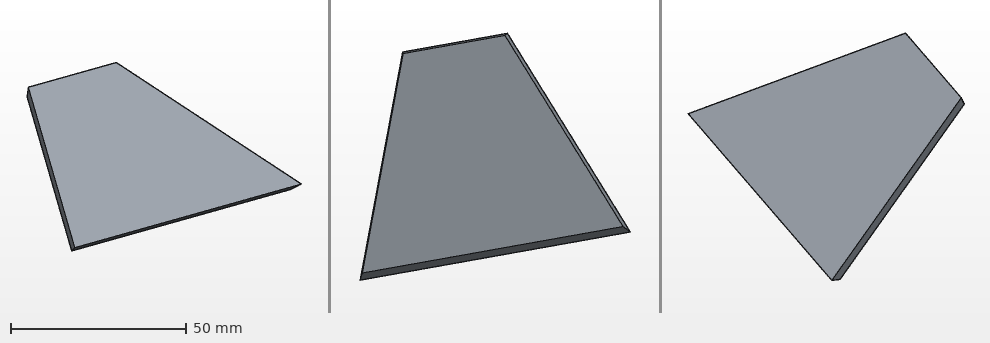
import cadquery as cq

length = 59.4
height = 25.7
wide_width = 78.8
narrow_width = 30.6
narrow_end_x = 1.35
wide_end_z = 2.75

lower_wide_x = 55.8
lower_wide_width = 76.0

run = length - narrow_end_x
fall_per_x = (height - wide_end_z) / run
flare_per_x = (wide_width - narrow_width) / run
lower_narrow_z = lower_wide_x * fall_per_x
lower_narrow_width = lower_wide_width - lower_wide_x * flare_per_x


def trapezoid(narrow_x, narrow_z, narrow_y, wide_x, wide_z, wide_y):
    """Corners of a symmetric sloping trapezoid, given its end widths along Y."""
    return [
        cq.Vector(narrow_x, -narrow_y / 2, narrow_z),
        cq.Vector(wide_x, -wide_y / 2, wide_z),
        cq.Vector(wide_x, wide_y / 2, wide_z),
        cq.Vector(narrow_x, narrow_y / 2, narrow_z),
    ]


def flat_face(corners):
    return cq.Face.makeFromWires(cq.Wire.makePolygon(corners, close=True))


upper = trapezoid(narrow_end_x, height, narrow_width, length, wide_end_z, wide_width)
lower = trapezoid(0, lower_narrow_z, lower_narrow_width, lower_wide_x, 0, lower_wide_width)

faces = [flat_face(upper), flat_face(lower[::-1])]
for i in range(len(upper)):
    following = (i + 1) % len(upper)
    faces.append(flat_face([lower[i], lower[following], upper[following], upper[i]]))

plate = cq.Solid.makeSolid(cq.Shell.makeShell(faces))
result = cq.Workplane("XY").newObject([plate])